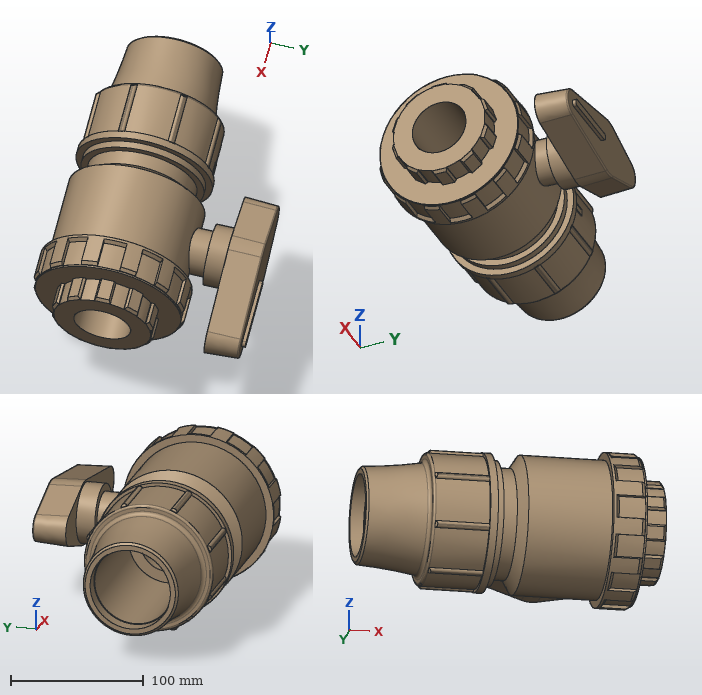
import cadquery as cq
import math


sleeve_chamfer = 1.6
sleeve_tip_radius = 35.5
sleeve_front_radius = 37.3
sleeve_mid = (23.8, 39.2)
sleeve_end_x = 46.0
neck_radius = 42.5

nut_start_x = 48.7
nut_fillet = 1.9
nut_inner_radius = 45.7
nut_radius = 101.0 / 2
nut_end_x = 92.1
nut_rib_count = 8
nut_rib_width = 5.4
nut_rib_corner = 2.3
nut_rib_peak = 52.5
nut_rib_chamfer = 1.6
nut_mark_length = 14.2
nut_mark_width = 5.5
nut_mark_peak = 51.0

collar_radius = 106.0 / 2
collar_end_x = 98.0
step_radius = 95.6 / 2
step_end_x = 103.3
neck_end_x = 114.5
body_radius = collar_radius
body_start_x = 121.3

union_start_x = 185.6
union_end_x = 211.8
union_radius = 118.0 / 2
union_rim_radius = 113.3 / 2
union_rim_width = 1.5
recess_count = 12
recess_half_angle = 8.7
recess_floor_radius = 56.5
recess_start_x = 187.7
recess_ramp_length = 2.3
cut_clearance = 2.3
union_chamfer_length = 2.5
union_chamfer_height = 1.6

spigot_end_x = 230.0
spigot_radius = 37.5
spigot_rib_count = 10
spigot_rib_radius = 39.6
spigot_rib_top_width = 9.8
spigot_rib_base_width = 12.4
spigot_rib_overlap = 2.3
spigot_rib_chamfer = 2.0

bore_diameter = 44.0
mouth_diameter = 63.0
mouth_depth = 10.5
socket_diameter = 61.8
socket_end_x = step_end_x

stem_x = 153.2
stem_diameter = 35.5
hub_diameter = 47.0
hub_start_y = 65.0
handle_start_y = 79.8
handle_top_y = 106.3
handle_taper = 3.0
handle_edge_fillet = 1.2
handle_left_x = 101.2
handle_right_x = 233.2
handle_mid_radius = 25.2
handle_left_radius = 12.8
handle_right_radius = 12.8
pad_left_x = 166.0
pad_right_x = 222.5
pad_width = 5.5
pad_top_y = 109.1


def plane_across_x(x):
    """Plane normal to the valve axis; local x is +Y and local y is +Z."""
    return cq.Workplane("YZ", origin=(x, 0, 0))


def plane_across_y(x, y):
    """Plane normal to the stem axis, facing +Y; local x is +X."""
    return cq.Workplane(cq.Plane(origin=(x, y, 0), xDir=(1, 0, 0), normal=(0, 1, 0)))


def spread_around_axis(shape, count, first_angle):
    """Join copies of a shape evenly spaced around the valve axis."""
    group = cq.Workplane("XY")
    for i in range(count):
        angle = first_angle + i * 360 / count
        group = group.add(shape.rotate((0, 0, 0), (1, 0, 0), angle))
    return group.combine()


def revolve_about_axis(profile):
    return profile.close().revolve(360, (0, 0, 0), (1, 0, 0))


def turned_body():
    """Sleeve, clamping nut, neck, main body and plain spigot."""
    flare_x = (sleeve_end_x + 2 * nut_start_x) / 3
    flare_radius = (2 * neck_radius + nut_inner_radius) / 3
    fillet_mid = nut_fillet * (1 - math.sqrt(0.5))
    profile = (
        cq.Workplane("XY")
        .lineTo(0, sleeve_tip_radius)
        .lineTo(sleeve_chamfer, sleeve_front_radius)
        .threePointArc(sleeve_mid, (sleeve_end_x, neck_radius))
        .threePointArc((flare_x, flare_radius), (nut_start_x, nut_inner_radius))
        .lineTo(nut_start_x, nut_radius - nut_fillet)
        .threePointArc(
            (nut_start_x + fillet_mid, nut_radius - fillet_mid),
            (nut_start_x + nut_fillet, nut_radius),
        )
        .lineTo(nut_end_x, nut_radius)
        .lineTo(nut_end_x, collar_radius)
        .lineTo(collar_end_x, collar_radius)
        .lineTo(collar_end_x, step_radius)
        .lineTo(step_end_x, step_radius)
        .lineTo(step_end_x, neck_radius)
        .lineTo(neck_end_x, neck_radius)
        .lineTo(body_start_x, body_radius)
        .lineTo(union_start_x, body_radius)
        .lineTo(union_start_x, spigot_radius)
        .lineTo(spigot_end_x, spigot_radius)
        .lineTo(spigot_end_x, 0)
    )
    return revolve_about_axis(profile)


def nut_ribs():
    """Round-topped grip ribs along the clamping nut, bevelled at the sleeve end."""
    start_x = nut_start_x + nut_fillet
    rib_root = step_radius
    rib = (
        plane_across_x(start_x)
        .center(0, (rib_root + nut_rib_peak) / 2)
        .rect(nut_rib_width, nut_rib_peak - rib_root)
        .extrude(nut_end_x - start_x)
    )
    rib = rib.faces("<X").edges(">Z").chamfer(nut_rib_chamfer)
    rib = rib.faces(">Z").edges("|X").fillet(nut_rib_corner)
    return spread_around_axis(rib, nut_rib_count, 180 / nut_rib_count)


def nut_mark():
    """Short raised mark on the handle side of the clamping nut, against the collar."""
    return (
        plane_across_x(nut_end_x - nut_mark_length)
        .center((step_radius + nut_mark_peak) / 2, 0)
        .rect(nut_mark_peak - step_radius, nut_mark_width)
        .extrude(nut_mark_length)
    )


def union_recesses():
    """Grip recesses of the union nut, each with a sloped end wall, open at the rim."""
    rim_x = union_end_x - union_rim_width
    half_angle = math.radians(recess_half_angle)
    reach = union_radius + cut_clearance
    wedge_height = 2 * reach
    wedge_half_width = wedge_height * math.tan(half_angle)
    ring = revolve_about_axis(
        cq.Workplane("XY")
        .moveTo(recess_start_x, union_radius)
        .lineTo(recess_start_x + recess_ramp_length, recess_floor_radius)
        .lineTo(rim_x, recess_floor_radius)
        .lineTo(rim_x, reach)
        .lineTo(recess_start_x, reach)
    )
    wedge = (
        plane_across_x(union_start_x)
        .lineTo(-wedge_half_width, wedge_height)
        .lineTo(wedge_half_width, wedge_height)
        .close()
        .extrude(union_end_x - union_start_x)
    )
    return spread_around_axis(wedge.intersect(ring), recess_count, 0)


def union_nut():
    rim_x = union_end_x - union_rim_width
    profile = (
        cq.Workplane("XY")
        .moveTo(union_start_x, 0)
        .lineTo(union_start_x, union_radius)
        .lineTo(rim_x - union_chamfer_length, union_radius)
        .lineTo(rim_x, union_radius - union_chamfer_height)
        .lineTo(rim_x, union_rim_radius)
        .lineTo(union_end_x, union_rim_radius)
        .lineTo(union_end_x, 0)
    )
    return revolve_about_axis(profile).cut(union_recesses())


def spigot_ribs():
    """Flat-topped ribs with sloped sides along the spigot, bevelled at the outer end."""
    rib_root = spigot_radius - spigot_rib_overlap
    half_base = spigot_rib_base_width / 2
    half_top = spigot_rib_top_width / 2
    rib = (
        plane_across_x(union_end_x)
        .moveTo(-half_base, rib_root)
        .lineTo(-half_base, spigot_radius)
        .lineTo(-half_top, spigot_rib_radius)
        .lineTo(half_top, spigot_rib_radius)
        .lineTo(half_base, spigot_radius)
        .lineTo(half_base, rib_root)
        .close()
        .extrude(spigot_end_x - union_end_x)
        .faces(">X")
        .edges(">Z")
        .chamfer(spigot_rib_chamfer)
    )
    return spread_around_axis(rib, spigot_rib_count, 0)


def bores():
    """Through bore with the pipe socket and its slightly wider mouth."""
    through = plane_across_x(0).circle(bore_diameter / 2).extrude(spigot_end_x)
    socket = plane_across_x(0).circle(socket_diameter / 2).extrude(socket_end_x)
    mouth = plane_across_x(0).circle(mouth_diameter / 2).extrude(mouth_depth)
    return through.union(socket).union(mouth)


def stem():
    shaft = plane_across_y(stem_x, 0).circle(stem_diameter / 2).extrude(handle_start_y)
    hub = plane_across_y(stem_x, hub_start_y).circle(hub_diameter / 2).extrude(handle_start_y - hub_start_y)
    return shaft.union(hub)


def handle():
    """Tapered handle: a large arc around the stem joined by tangents to two round ends."""
    left_centre = handle_left_x + handle_left_radius - stem_x
    right_centre = handle_right_x - handle_right_radius - stem_x
    left_slope = math.asin((handle_mid_radius - handle_left_radius) / -left_centre)
    right_slope = math.asin((handle_mid_radius - handle_right_radius) / right_centre)

    def on_arc(centre, radius, lean, side):
        return (centre + radius * math.sin(lean), side * radius * math.cos(lean))

    outline = (
        plane_across_y(stem_x, handle_start_y)
        .moveTo(*on_arc(left_centre, handle_left_radius, -left_slope, 1))
        .lineTo(*on_arc(0, handle_mid_radius, -left_slope, 1))
        .threePointArc((0, handle_mid_radius), on_arc(0, handle_mid_radius, right_slope, 1))
        .lineTo(*on_arc(right_centre, handle_right_radius, right_slope, 1))
        .threePointArc(
            (right_centre + handle_right_radius, 0),
            on_arc(right_centre, handle_right_radius, right_slope, -1),
        )
        .lineTo(*on_arc(0, handle_mid_radius, right_slope, -1))
        .threePointArc((0, -handle_mid_radius), on_arc(0, handle_mid_radius, -left_slope, -1))
        .lineTo(*on_arc(left_centre, handle_left_radius, -left_slope, -1))
        .threePointArc(
            (left_centre - handle_left_radius, 0),
            on_arc(left_centre, handle_left_radius, -left_slope, 1),
        )
        .close()
    )
    grip = outline.extrude(handle_top_y - handle_start_y, taper=handle_taper)
    grip = grip.faces(">Y").edges().fillet(handle_edge_fillet)
    pad = (
        plane_across_y((pad_left_x + pad_right_x) / 2, handle_start_y)
        .slot2D(pad_right_x - pad_left_x, pad_width)
        .extrude(pad_top_y - handle_start_y)
    )
    return grip.union(pad)


result = (
    turned_body()
    .union(nut_ribs())
    .union(nut_mark())
    .union(union_nut())
    .union(spigot_ribs())
    .union(stem())
    .cut(bores())
    .union(handle())
)